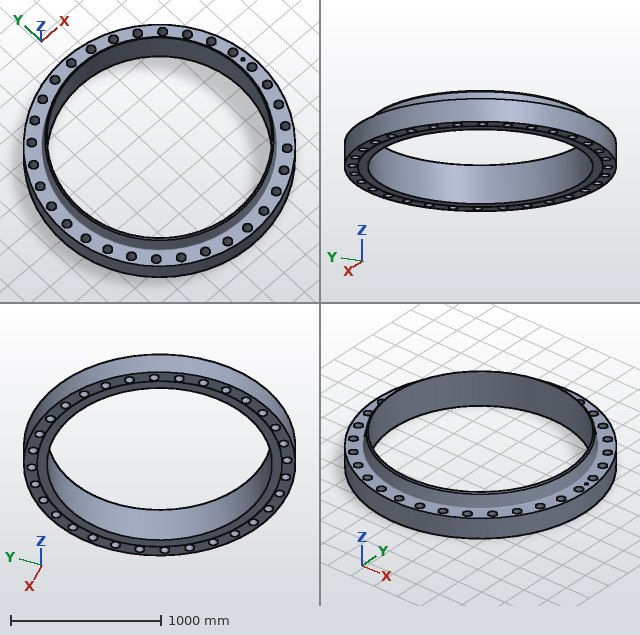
import cadquery as cq
import math

flange_diameter = 1810.0
raised_face_diameter = 1632.0
raised_face_height = 2.0
flange_top = 163.0
bore_diameter = 1498.0

overall_height = 273.0
hub_base_diameter = 1565.0
hub_end_diameter = 1523.0
hub_fillet = 7.0
weld_land_diameter = 1502.0
weld_bevel_height = 10.0
hub_straight_length = 5.0
weld_bevel_start = overall_height - weld_bevel_height

bolt_count = 32
bolt_circle_diameter = 1700.0
bolt_hole_diameter = 62.0
bolt_pitch_angle = 360 / bolt_count

tapped_diameter = 22.0
tapped_depth = 36.0
drill_diameter = 15.0
drill_depth = 55.0
drill_point_angle = 118.0
tapped_hole_angle = bolt_pitch_angle / 2


def make_body():
    """Revolve the half section of the ring, raised face and hub about Z."""
    bore_radius = bore_diameter / 2
    flange_radius = flange_diameter / 2
    raised_face_radius = raised_face_diameter / 2
    section = (
        cq.Workplane("XZ")
        .moveTo(bore_radius, 0)
        .lineTo(raised_face_radius, 0)
        .lineTo(raised_face_radius, raised_face_height)
        .lineTo(flange_radius, raised_face_height)
        .lineTo(flange_radius, flange_top)
        .lineTo(hub_base_diameter / 2, flange_top)
        .lineTo(hub_end_diameter / 2, weld_bevel_start - hub_straight_length)
        .lineTo(hub_end_diameter / 2, weld_bevel_start)
        .lineTo(weld_land_diameter / 2, overall_height)
        .lineTo(bore_radius, overall_height)
        .close()
    )
    return section.revolve(360, (0, 0, 0), (0, 1, 0))


def fillet_hub_root(body):
    """Round the inside corner where the hub meets the flange."""
    half_width = hub_base_diameter / 2
    tolerance = 2.0
    root_edge = cq.selectors.BoxSelector(
        (-half_width - tolerance, -half_width - tolerance, flange_top - tolerance),
        (half_width + tolerance, half_width + tolerance, flange_top + tolerance),
        boundingbox=True,
    )
    return body.edges(root_edge).fillet(hub_fillet)


def make_bolt_holes():
    """Through holes spaced evenly on the bolt circle."""
    return (
        cq.Workplane("XY")
        .polarArray(bolt_circle_diameter / 2, 0, 360, bolt_count)
        .circle(bolt_hole_diameter / 2)
        .extrude(overall_height)
    )


def make_tapped_hole():
    """Tapped bore over a narrower pointed drilling, sunk from the flange top on the bolt circle."""
    tapped_radius = tapped_diameter / 2
    drill_radius = drill_diameter / 2
    point_length = drill_radius / math.tan(math.radians(drill_point_angle / 2))
    cutter = (
        cq.Workplane("XZ")
        .lineTo(tapped_radius, 0)
        .lineTo(tapped_radius, -tapped_depth)
        .lineTo(drill_radius, -tapped_depth)
        .lineTo(drill_radius, -drill_depth)
        .lineTo(0, -drill_depth - point_length)
        .close()
        .revolve(360, (0, 0, 0), (0, 1, 0))
    )
    angle = math.radians(tapped_hole_angle)
    radius = bolt_circle_diameter / 2
    return cutter.translate((radius * math.cos(angle), radius * math.sin(angle), flange_top))


body = fillet_hub_root(make_body())
result = body.cut(make_bolt_holes()).cut(make_tapped_hole())